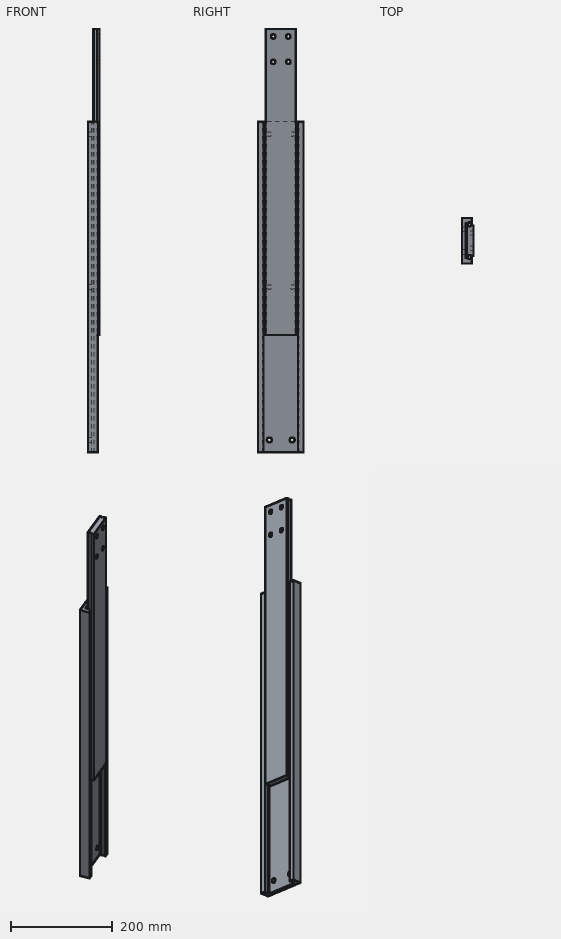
import cadquery as cq

total_length = 832.0
total_thickness = 23.0

channel_length = 649.5
channel_width = 90.0
channel_thickness = 20.0
floor_thickness = 7.5
channel_hole_diameter = 9.0
channel_hole_spacing_y = 45.0
channel_hole_pitch_z = 300.0
channel_hole_rows = 3

slide_length = 601.0
slide_width = 60.0
floor_gap = 2.5
side_gap = 4.0
slide_hole_diameter = 8.0
slide_hole_spacing_y = 30.0
slide_hole_pitch_z = 50.0
slide_hole_end_distance = 15.0

track_radius = 3.75
track_x = 15.0

slide_back_x = floor_thickness + floor_gap
slide_thickness = total_thickness - slide_back_x
slide_bottom_z = total_length - slide_length
opening_width = slide_width + 2 * side_gap
track_y = (slide_width + side_gap) / 2


def block(x_start, thickness, width, z_start, length):
    """Box centred on Y, starting at the given X and Z."""
    return (
        cq.Workplane("XY")
        .box(thickness, width, length, centered=(False, True, False))
        .translate((x_start, 0, z_start))
    )


def ball_tracks(z_start, length):
    """Two round track cutters, one in each side gap."""
    return (
        cq.Workplane("XY", origin=(0, 0, z_start))
        .pushPoints([(track_x, -track_y), (track_x, track_y)])
        .circle(track_radius)
        .extrude(length)
    )


def mounting_holes(diameter, spacing_y, row_heights):
    """Pairs of cutters along X, one pair at each row height."""
    points = [(side * spacing_y / 2, z) for z in row_heights for side in (-1, 1)]
    return cq.Workplane("YZ").pushPoints(points).circle(diameter / 2).extrude(total_thickness)


def make_channel():
    body = block(0, channel_thickness, channel_width, 0, channel_length)
    opening = block(floor_thickness, channel_thickness, opening_width, 0, channel_length)
    middle_row = (channel_hole_rows - 1) / 2
    rows = [
        channel_length / 2 + (row - middle_row) * channel_hole_pitch_z
        for row in range(channel_hole_rows)
    ]
    holes = mounting_holes(channel_hole_diameter, channel_hole_spacing_y, rows)
    return body.cut(opening).cut(ball_tracks(0, channel_length)).cut(holes)


def make_slide():
    body = block(slide_back_x, slide_thickness, slide_width, slide_bottom_z, slide_length)
    top_row = total_length - slide_hole_end_distance
    rows = [top_row, top_row - slide_hole_pitch_z]
    holes = mounting_holes(slide_hole_diameter, slide_hole_spacing_y, rows)
    return body.cut(ball_tracks(slide_bottom_z, slide_length)).cut(holes)


channel = make_channel()
slide = make_slide()
result = cq.Compound.makeCompound([channel.val(), slide.val()])